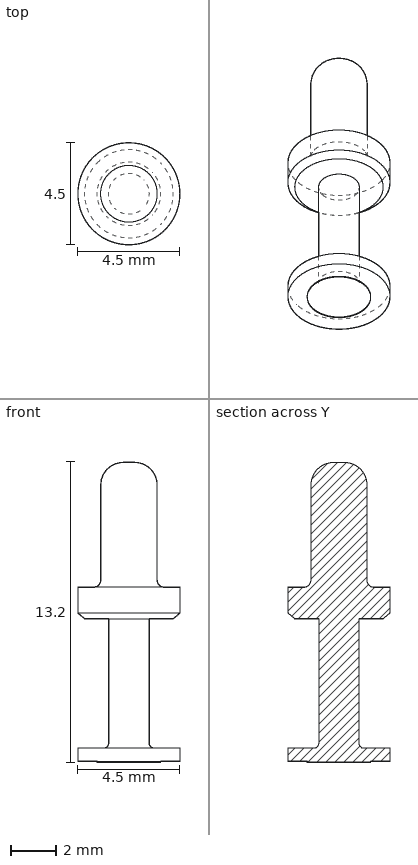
import cadquery as cq

total_height = 13.2
flange_diameter = 4.5

pad_diameter = 2.8
pad_height = 0.04
flange_thickness = 0.6

stem_diameter = 1.8
stem_fillet = 0.2

collar_top = 7.71
collar_height = 1.4
chamfer_height = 0.25
chamfer_width = 0.3

pin_diameter = 2.5
pin_fillet = 0.3
dome_radius = 1.0

flange_bottom = pad_height
flange_top = flange_bottom + flange_thickness
collar_bottom = collar_top - collar_height


def disc(diameter, bottom, top):
    """Cylinder on the Z axis between two heights."""
    return cq.Workplane("XY").workplane(offset=bottom).circle(diameter / 2).extrude(top - bottom)


def root_fillet(diameter, radius, shoulder):
    """Concave ring that blends a shaft into the shoulder below it."""
    shaft_radius = diameter / 2
    return (
        cq.Workplane("XZ")
        .moveTo(0, shoulder)
        .lineTo(shaft_radius + radius, shoulder)
        .radiusArc((shaft_radius, shoulder + radius), radius)
        .lineTo(0, shoulder + radius)
        .close()
        .revolve(360, (0, 0, 0), (0, 1, 0))
    )


pad = disc(pad_diameter, 0, flange_bottom)
flange = disc(flange_diameter, flange_bottom, flange_top)

stem = disc(stem_diameter, flange_top, collar_bottom)
stem_root = root_fillet(stem_diameter, stem_fillet, flange_top)

collar = disc(flange_diameter, collar_bottom, collar_top)
collar = collar.faces("<Z").edges().chamfer(chamfer_height, chamfer_width)

pin = disc(pin_diameter, collar_top, total_height).faces(">Z").edges().fillet(dome_radius)
pin_root = root_fillet(pin_diameter, pin_fillet, collar_top)

result = pad
for section in (flange, stem, stem_root, collar, pin, pin_root):
    result = result.union(section)